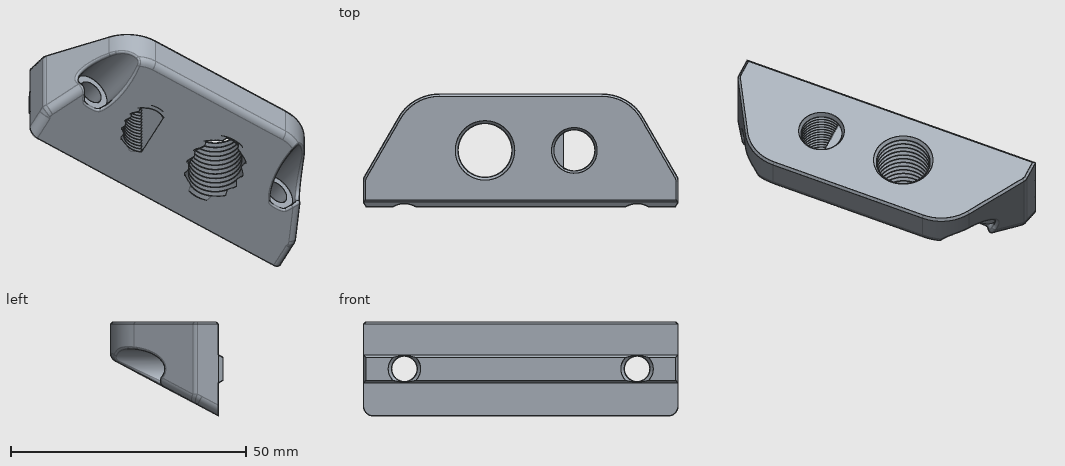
import cadquery as cq
import math

LENGTH = 67.0
DEPTH = 23.0
HEIGHT = 20.0
END_WIDTH = 5.0
SIDE_ANGLE = 60.0
BACK_CORNER_RADIUS = 10.0
END_CORNER_RADIUS = 2.0
BOTTOM_ANGLE = 28.0
BOTTOM_FILLET = 2.0
TOP_CHAMFER = 0.5
TOLERANCE = 0.001

RAIL_DEPTH = 1.0
RAIL_WIDTH = 6.0
RAIL_TAPER_ANGLE = 30.0
RAIL_Z = HEIGHT / 2

SCREW_SPACING = 49.5
SCREW_DIAMETER = 5.4
SCREW_ENTRY_CHAMFER = 0.75
HEAD_DIAMETER = 8.5
HEAD_SEAT_Y = 10.0
HEAD_RIM_FILLET = 0.5

PORT_Y = 11.0
LARGE_PORT_X = -7.6
LARGE_PORT_BORE = 11.43
LARGE_PORT_MOUTH = 12.65
LARGE_PORT_MOUTH_DEPTH = 0.61
LARGE_PORT_PITCH = 1.337
SMALL_PORT_X = 11.4
SMALL_PORT_BORE = 8.71
SMALL_PORT_MOUTH = 9.73
SMALL_PORT_MOUTH_DEPTH = 0.88
SMALL_PORT_PITCH = 0.907
THREAD_DEPTH_RATIO = 0.64
THREAD_CREST_RATIO = 0.125
FLAT_OFFSET = 2.3


def make_body():
    """Return the tapered block with its sloping, rounded underside and chamfered top."""
    half_length = LENGTH / 2
    back_half = half_length - (DEPTH - END_WIDTH) / math.tan(math.radians(SIDE_ANGLE))
    body = (
        cq.Workplane("XY")
        .polyline([
            (-half_length, 0),
            (half_length, 0),
            (half_length, END_WIDTH),
            (back_half, DEPTH),
            (-back_half, DEPTH),
            (-half_length, END_WIDTH),
        ])
        .close()
        .extrude(HEIGHT)
    )
    body = body.edges("|Z and >Y").fillet(BACK_CORNER_RADIUS)
    end_corners = body.edges("|Z").filter(lambda edge: abs(edge.Center().y - END_WIDTH) < TOLERANCE)
    body = end_corners.fillet(END_CORNER_RADIUS)

    slope_rise = DEPTH * math.tan(math.radians(BOTTOM_ANGLE))
    underside = (
        cq.Workplane("YZ")
        .polyline([(0, 0), (DEPTH, 0), (DEPTH, slope_rise)])
        .close()
        .extrude(half_length, both=True)
    )
    body = body.cut(underside)
    body = body.faces(">Z").edges().chamfer(TOP_CHAMFER)
    underside_rim = body.faces("<Z").edges("not(<Y)")
    return underside_rim.fillet(BOTTOM_FILLET)


def make_rail():
    """Return the locating rail, tapered on all four sides towards -Y."""
    return (
        cq.Workplane("XZ")
        .center(0, RAIL_Z)
        .rect(LENGTH, RAIL_WIDTH)
        .extrude(RAIL_DEPTH, taper=RAIL_TAPER_ANGLE)
    )


def cylinder_along_y(x, diameter, start_y, end_y):
    return cq.Workplane(cq.Solid.makeCylinder(
        diameter / 2, end_y - start_y, cq.Vector(x, start_y, RAIL_Z), cq.Vector(0, 1, 0)))


def is_pocket_rim(edge, x):
    """Tell whether an edge is part of the open, curved rim of the head pocket at x."""
    if edge.geomType() == "LINE" or edge.Center().y < HEAD_SEAT_Y + HEAD_RIM_FILLET:
        return False
    ends_and_middle = [edge.positionAt(t) for t in (0, 0.5, 1)]
    radii = [math.hypot(point.x - x, point.z - RAIL_Z) for point in ends_and_middle]
    return all(abs(radius - HEAD_DIAMETER / 2) < TOLERANCE for radius in radii)


def cut_head_pocket(part, x):
    """Cut the screw head pocket, open to the back and underside, and round its rim."""
    part = part.cut(cylinder_along_y(x, HEAD_DIAMETER, HEAD_SEAT_Y, DEPTH))
    rim = part.edges().filter(lambda edge: is_pocket_rim(edge, x))
    return rim.fillet(HEAD_RIM_FILLET)


def cut_screw_hole(part, x):
    """Cut the screw clearance hole along Y with a chamfered entry in the rail."""
    shank = cylinder_along_y(x, SCREW_DIAMETER, -RAIL_DEPTH, DEPTH)
    entry = cq.Workplane(cq.Solid.makeCone(
        SCREW_DIAMETER / 2 + SCREW_ENTRY_CHAMFER,
        SCREW_DIAMETER / 2,
        SCREW_ENTRY_CHAMFER,
        cq.Vector(x, -RAIL_DEPTH, RAIL_Z),
        cq.Vector(0, 1, 0),
    ))
    return part.cut(shank).cut(entry)


def make_port_tool(x, bore, mouth, mouth_depth, pitch):
    """Return the hollow of a port: countersunk mouth, then a bore with evenly spaced thread grooves."""
    bore_radius = bore / 2
    groove_radius = bore_radius + THREAD_DEPTH_RATIO * pitch
    mouth_bottom = HEIGHT - mouth_depth
    groove_count = math.ceil(mouth_bottom / pitch)

    profile = [(0, HEIGHT), (mouth / 2, HEIGHT), (bore_radius, mouth_bottom)]
    for i in range(groove_count):
        groove_top = mouth_bottom - (i + THREAD_CREST_RATIO) * pitch
        groove_bottom = mouth_bottom - (i + 1) * pitch
        profile.append((bore_radius, groove_top))
        profile.append((groove_radius, (groove_top + groove_bottom) / 2))
        profile.append((bore_radius, groove_bottom))
    profile.append((0, mouth_bottom - groove_count * pitch))

    tool = cq.Workplane("XZ").polyline(profile).close().revolve(360, (0, 0, 0), (0, 1, 0))
    return tool.translate((x, PORT_Y, 0))


def make_small_port_flat():
    """Return the block that leaves the small port D-shaped below its mouth."""
    flat_x = SMALL_PORT_X - FLAT_OFFSET
    ledge_z = HEIGHT - SMALL_PORT_MOUTH_DEPTH
    block_size = 2 * SMALL_PORT_MOUTH
    return cq.Workplane("XY").box(
        block_size, block_size, 2 * HEIGHT, centered=(False, True, False)
    ).translate((flat_x - block_size, PORT_Y, ledge_z - 2 * HEIGHT))


large_port = make_port_tool(
    LARGE_PORT_X, LARGE_PORT_BORE, LARGE_PORT_MOUTH, LARGE_PORT_MOUTH_DEPTH, LARGE_PORT_PITCH)
small_port = make_port_tool(
    SMALL_PORT_X, SMALL_PORT_BORE, SMALL_PORT_MOUTH, SMALL_PORT_MOUTH_DEPTH, SMALL_PORT_PITCH)
small_port = small_port.cut(make_small_port_flat())

screw_positions = (-SCREW_SPACING / 2, SCREW_SPACING / 2)
part = make_body()
for screw_x in screw_positions:
    part = cut_head_pocket(part, screw_x)
part = part.union(make_rail())
for screw_x in screw_positions:
    part = cut_screw_hole(part, screw_x)
result = part.cut(large_port).cut(small_port)